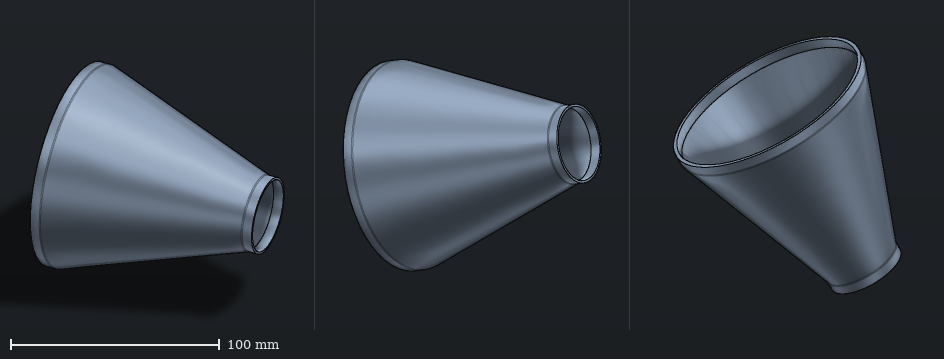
import cadquery as cq
import math

length = 102.0
large_outer_diameter = 101.6
large_inner_diameter = 97.6
small_outer_diameter = 38.1
small_inner_diameter = 35.7

collar_length = 5.1
bend_radius = 2.0

cone_end = length - collar_length


def outer_body():
    """Solid of revolution about X: large collar, cone, small collar, with rounded bends."""
    large_radius = large_outer_diameter / 2
    small_radius = small_outer_diameter / 2
    cone_angle = math.atan2(large_radius - small_radius, cone_end - collar_length)

    tangent = bend_radius * math.tan(cone_angle / 2)
    run = tangent * math.cos(cone_angle)
    drop = tangent * math.sin(cone_angle)
    mid_run = bend_radius * math.sin(cone_angle / 2)
    mid_drop = bend_radius * (1 - math.cos(cone_angle / 2))

    profile = (
        cq.Workplane("XZ")
        .lineTo(0, large_radius)
        .lineTo(collar_length - tangent, large_radius)
        .threePointArc(
            (collar_length - tangent + mid_run, large_radius - mid_drop),
            (collar_length + run, large_radius - drop),
        )
        .lineTo(cone_end - run, small_radius + drop)
        .threePointArc(
            (cone_end + tangent - mid_run, small_radius + mid_drop),
            (cone_end + tangent, small_radius),
        )
        .lineTo(length, small_radius)
        .lineTo(length, 0)
        .close()
    )
    return profile.revolve(360, (0, 0, 0), (1, 0, 0))


def bore():
    """Through passage: straight in both collars and conical between, with sharp corners."""
    large_radius = large_inner_diameter / 2
    small_radius = small_inner_diameter / 2
    profile = (
        cq.Workplane("XZ")
        .lineTo(0, large_radius)
        .lineTo(collar_length, large_radius)
        .lineTo(cone_end, small_radius)
        .lineTo(length, small_radius)
        .lineTo(length, 0)
        .close()
    )
    return profile.revolve(360, (0, 0, 0), (1, 0, 0))


result = outer_body().cut(bore())